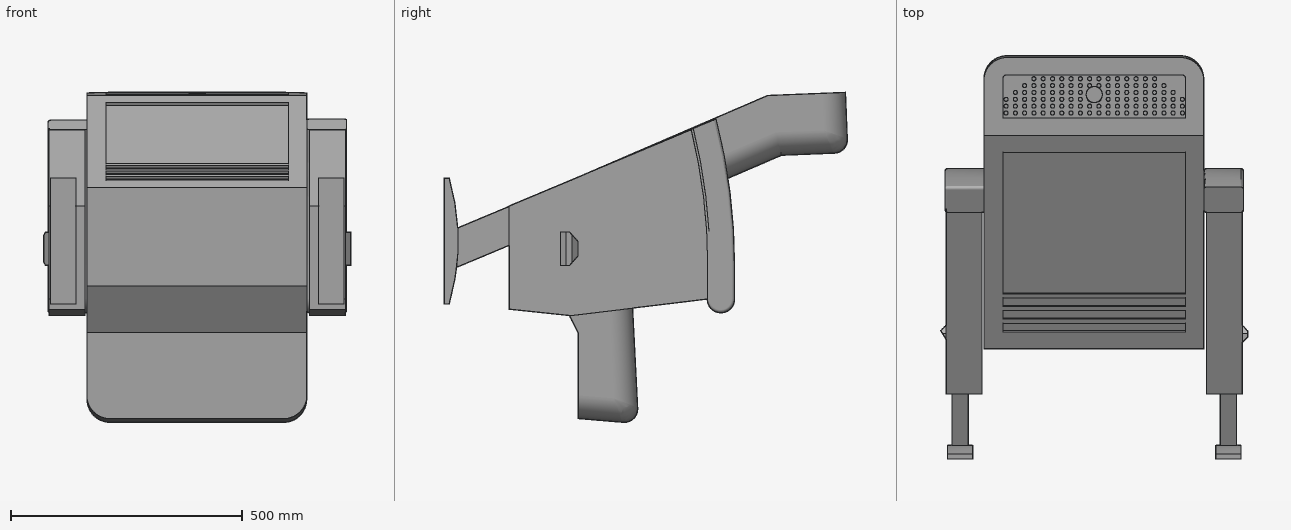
import cadquery as cq
import math

chair_width = 475.0
chair_center_x = -1.0
slab_thickness = 131.0
bend_y = 263.0
bend_z = 350.0
head_tilt = 2.3
head_length = 168.0
back_slope = 23.3
front_y = -198.0
front_bottom_z = -61.0
leg_front_y = -146.5
leg_top_z = -162.0
leg_bottom_z = -348.0
leg_sole_tilt = 4.8
leg_rear_tilt = 2.9
side_round = 50.0
heel_round = 30.0

recess_margin = 40.0
recess_depth = 6.0
slot_count = 3
slot_width = 20.0
slot_gap = 10.0
slot_pitch = slot_width + slot_gap
grille_margin = 37.5
grille_corner_round = 9.0
hole_diameter = 9.0
hole_depth = 5.0
hole_pitch_x = 20.0
hole_pitch_y = 15.0
hole_rows = 6
hole_columns = 20
hole_first_row = 10.5
hole_trim_rows = 3
button_radius = 17.0
button_inset = 43.0
button_height = 5.0

panel_inner_x = 242.0
panel_outer_x = 320.0
panel_drop = 1.0
arm_slope = 22.7
panel_front_y = -295.5
panel_front_top_z = 112.0
panel_front_bottom_z = -112.0
panel_low_y = -163.0
panel_low_z = -125.5
panel_rear_bottom_z = -90.0
panel_overlap = 7.0
trim_outer_x = 322.5
trim_center_y = 162.0
trim_radius = 30.0
trim_center_z = -90.0
trim_bend_z = -16.5
trim_top_rear_y = 152.0
trim_top_front_y = 97.0
trim_round = 6.0
rod_inner_x = 272.0
rod_outer_x = 308.0
rod_drop = 1.0
rod_height = 84.5
pad_inner_x = 262.0
pad_outer_x = 317.0
pad_front_y = -436.0
pad_edge_thickness = 11.0
pad_thickness = 30.5
pad_bottom_z = -100.0
pad_top_z = 172.0
knob_reach_x = 331.7
knob_rear_y = -146.5
knob_corner_y = -165.0
knob_bottom_z = -16.5
knob_top_z = 55.0
knob_rear_inset = 20.0
left_knob_front_y = -178.0
left_knob_ridge_y = -159.0
right_knob_front_y = -184.0
right_knob_flat_rear_y = -159.5
right_knob_flat_front_y = -173.0

slope = math.tan(math.radians(back_slope))
chair_left_x = chair_center_x - chair_width / 2
chair_right_x = chair_center_x + chair_width / 2


def panel_top_z(y):
    """Height of the sloping top of the arm panel."""
    return panel_front_top_z + math.tan(math.radians(arm_slope)) * (y - panel_front_y)


trim_top_rear_z = panel_top_z(trim_top_rear_y) + panel_drop
trim_top_front_z = panel_top_z(trim_top_front_y) + panel_drop


def side_prism(outline, x_start, x_end):
    """Extrude a closed Y-Z outline from one X position to another."""
    return outline.extrude(x_end - x_start).translate((x_start, 0, 0))


def edges_near(part, points):
    """The edge of a part nearest to each point."""
    return [part.edges(cq.selectors.NearestToPointSelector(point)).val() for point in points]


def chair_blank():
    tilt = math.radians(head_tilt)
    head_y = bend_y + head_length * math.cos(tilt)
    head_z = bend_z + head_length * math.sin(tilt)
    head_low_y = head_y + slab_thickness * math.sin(tilt)
    head_low_z = head_z - slab_thickness * math.cos(tilt)

    half_angle = math.radians((back_slope - head_tilt) / 2)
    normal_angle = math.radians((back_slope + head_tilt) / 2)
    inner_reach = slab_thickness / math.cos(half_angle)
    inner_y = bend_y + inner_reach * math.sin(normal_angle)
    inner_z = bend_z - inner_reach * math.cos(normal_angle)

    heel_y = leg_front_y + slab_thickness
    heel_z = leg_bottom_z - slab_thickness * math.tan(math.radians(leg_sole_tilt))

    lean = math.tan(math.radians(leg_rear_tilt))
    knee_z = (inner_z + slope * (heel_y + lean * heel_z - inner_y)) / (1 + slope * lean)
    knee_y = heel_y - lean * (knee_z - heel_z)

    head_top = (head_y, head_z)
    head_low = (head_low_y, head_low_z)
    heel = (heel_y, heel_z)
    toe = (leg_front_y, leg_bottom_z)
    rear_path = [head_top, head_low, (inner_y, inner_z), (knee_y, knee_z), heel, toe]
    front_path = [
        (leg_front_y, leg_top_z),
        (front_y, front_bottom_z),
        (front_y, bend_z - slope * (bend_y - front_y)),
        (bend_y, bend_z),
    ]
    outline = cq.Workplane("YZ").polyline(rear_path + front_path).close()
    blank = side_prism(outline, chair_left_x, chair_right_x)

    middles = []
    for (y1, z1), (y2, z2) in zip(rear_path, rear_path[1:]):
        for x in (chair_left_x, chair_right_x):
            middles.append((x, (y1 + y2) / 2, (z1 + z2) / 2))
    blank = blank.newObject(edges_near(blank, middles)).fillet(side_round)

    end_points = [(chair_center_x, *head_low), (chair_center_x, *heel)]
    return blank.newObject(edges_near(blank, end_points)).fillet(heel_round)


def face_plane(angle):
    """Plane on an upper face: origin at the crease, local y rising along the face toward +Y."""
    tilt = math.radians(angle)
    return cq.Plane(
        origin=(0, bend_y, bend_z),
        xDir=(1, 0, 0),
        normal=(0, -math.sin(tilt), math.cos(tilt)),
    )


recess_width = chair_width - 2 * recess_margin
back_length = (bend_y - front_y) / math.cos(math.radians(back_slope))
screen_length = back_length - 2 * recess_margin - slot_count * slot_pitch


def back_recesses():
    """The screen recess and the row of slots below it, all of one depth."""
    plane = cq.Workplane(face_plane(back_slope))
    screen_y = -recess_margin - screen_length / 2
    cutter = plane.center(0, screen_y).rect(recess_width, screen_length).extrude(-recess_depth)
    for i in range(slot_count):
        slot_y = -recess_margin - screen_length - slot_gap - slot_width / 2 - i * slot_pitch
        slot = cq.Workplane(face_plane(back_slope)).center(0, slot_y)
        cutter = cutter.union(slot.rect(recess_width, slot_width).extrude(-recess_depth))
    return cutter


grille_length = head_length - 2 * grille_margin


def grille_floor():
    """Workplane on the grille floor, centred in X on its front edge."""
    plane = cq.Workplane(face_plane(head_tilt))
    return plane.workplane(offset=-recess_depth).center(0, grille_margin)


def grille_recess():
    recess = grille_floor().center(0, grille_length / 2).rect(recess_width, grille_length)
    recess = recess.extrude(recess_depth)
    rear_corners = cq.selectors.BoxSelector(
        (-chair_width, bend_y + grille_margin + grille_length / 2, 0),
        (chair_width, bend_y + head_length, bend_z + slab_thickness),
    )
    upright = cq.selectors.ParallelDirSelector(face_plane(head_tilt).zDir)
    return recess.edges(rear_corners).edges(upright).fillet(grille_corner_round)


def grille_holes():
    """Rows of holes; the rear rows lose one hole at each end per row."""
    points = []
    for row in range(hole_rows):
        missing = max(0, row - (hole_rows - hole_trim_rows) + 1)
        for column in range(missing, hole_columns - missing):
            x = (column - (hole_columns - 1) / 2) * hole_pitch_x
            points.append((x, hole_first_row + row * hole_pitch_y))
    return grille_floor().pushPoints(points).circle(hole_diameter / 2).extrude(-hole_depth)


def grille_button():
    """Round button standing on the floor; its foot fills the holes it covers."""
    button = grille_floor().center(0, grille_length - button_inset)
    button = button.workplane(offset=-hole_depth).circle(button_radius)
    return button.extrude(hole_depth + button_height)


chair = (
    chair_blank()
    .cut(back_recesses())
    .cut(grille_recess())
    .cut(grille_holes())
    .union(grille_button())
)


def arm_panel():
    """Side plate whose rear end is buried in the trim."""
    panel_top_rear_y = trim_top_front_y + panel_overlap
    outline = cq.Workplane("YZ").polyline([
        (panel_front_y, panel_top_z(panel_front_y)),
        (panel_front_y, panel_front_bottom_z),
        (panel_low_y, panel_low_z),
        (trim_center_y - trim_radius, panel_rear_bottom_z),
        (trim_center_y, panel_rear_bottom_z),
        (trim_center_y, trim_bend_z),
        (panel_top_rear_y, panel_top_z(panel_top_rear_y)),
    ]).close()
    return side_prism(outline, panel_inner_x, panel_outer_x)


def trim_front_arc_middle(near_y):
    """Middle of the arc that leaves the straight front side tangentially."""
    rise = trim_top_front_z - trim_bend_z
    run = near_y - trim_top_front_y
    radius = (rise ** 2 + run ** 2) / (2 * run)
    half_sweep = math.asin(rise / radius) / 2
    middle_y = near_y - radius * (1 - math.cos(half_sweep))
    return (middle_y, trim_bend_z + radius * math.sin(half_sweep))


def arm_trim(inner_x):
    """Curved band closing the rear of the arm, rounded at its lower end."""
    rear_y = trim_center_y + trim_radius
    near_y = trim_center_y - trim_radius
    outline = (
        cq.Workplane("YZ")
        .moveTo(near_y, trim_bend_z)
        .lineTo(near_y, trim_center_z)
        .threePointArc((trim_center_y, trim_center_z - trim_radius), (rear_y, trim_center_z))
        .lineTo(rear_y, trim_bend_z)
        .tangentArcPoint((trim_top_rear_y, trim_top_rear_z), relative=False)
        .lineTo(trim_top_front_y, trim_top_front_z)
        .threePointArc(trim_front_arc_middle(near_y), (near_y, trim_bend_z))
        .close()
    )
    return side_prism(outline, inner_x, trim_outer_x)


def arm_rod():
    rod_end_y = pad_front_y + pad_thickness / 2
    near_top_z = panel_top_z(panel_front_y) - rod_drop
    end_top_z = panel_top_z(rod_end_y) - rod_drop
    outline = cq.Workplane("YZ").polyline([
        (panel_front_y, near_top_z),
        (rod_end_y, end_top_z),
        (rod_end_y, end_top_z - rod_height),
        (panel_front_y, near_top_z - rod_height),
    ]).close()
    return side_prism(outline, rod_inner_x, rod_outer_x)


def arm_pad():
    """Upright pad on the rod, flat in front and bowed behind."""
    edge_y = pad_front_y + pad_edge_thickness
    outline = (
        cq.Workplane("YZ")
        .moveTo(pad_front_y, pad_bottom_z)
        .lineTo(edge_y, pad_bottom_z)
        .threePointArc(
            (pad_front_y + pad_thickness, (pad_bottom_z + pad_top_z) / 2), (edge_y, pad_top_z)
        )
        .lineTo(pad_front_y, pad_top_z)
        .close()
    )
    return side_prism(outline, pad_inner_x, pad_outer_x)


def arm_knob(front_y, plan):
    """Hexagonal block on the outer face, cut back to the X-Y outline in plan."""
    block_outline = cq.Workplane("YZ").polyline([
        (front_y, knob_bottom_z),
        (knob_corner_y, knob_bottom_z),
        (knob_rear_y, knob_bottom_z + knob_rear_inset),
        (knob_rear_y, knob_top_z - knob_rear_inset),
        (knob_corner_y, knob_top_z),
        (front_y, knob_top_z),
    ]).close()
    block = side_prism(block_outline, panel_outer_x, knob_reach_x)
    wedge = cq.Workplane("XY").workplane(offset=knob_bottom_z).polyline(plan).close()
    return block.intersect(wedge.extrude(knob_top_z - knob_bottom_z))


def arm(trim, knob):
    return arm_panel().union(trim).union(arm_rod()).union(arm_pad()).union(knob)


def left_arm():
    """Arm on the -X side: trim rounded all round its outer face and along its top rear edge."""
    inner_x = -chair_left_x
    trim = arm_trim(inner_x)
    top_rear = ((inner_x + trim_outer_x) / 2, trim_top_rear_y, trim_top_rear_z)
    rim = trim.faces(">X").edges().vals() + edges_near(trim, [top_rear])
    trim = trim.newObject(rim).fillet(trim_round)
    knob = arm_knob(left_knob_front_y, [
        (panel_outer_x, knob_rear_y),
        (knob_reach_x, left_knob_ridge_y),
        (panel_outer_x, left_knob_front_y),
    ])
    return arm(trim, knob).mirror("YZ")


def right_arm():
    """Arm on the +X side: trim rounded on its outer and inner faces, except along the top."""
    trim = arm_trim(chair_right_x)
    rim = []
    for side in (">X", "<X"):
        rim += trim.faces(side).edges("not >Z").vals()
    trim = trim.newObject(rim).fillet(trim_round)
    knob = arm_knob(right_knob_front_y, [
        (panel_outer_x, knob_rear_y),
        (knob_reach_x, right_knob_flat_rear_y),
        (knob_reach_x, right_knob_flat_front_y),
        (panel_outer_x, right_knob_front_y),
    ])
    return arm(trim, knob)


result = cq.Compound.makeCompound([chair.val(), left_arm().val(), right_arm().val()])